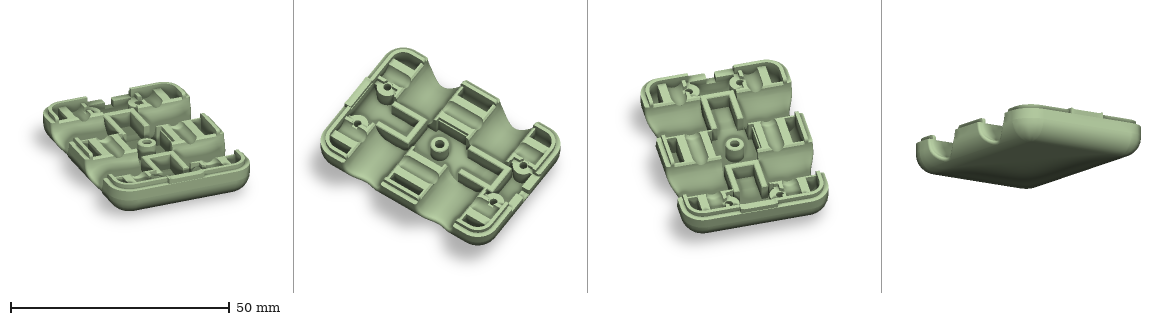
import cadquery as cq
import math

LENGTH = 47.65
WIDTH = 34.7
LEDGE_Z = 6.85
LIP_TOP_Z = 8.0
CLIP_TOP_Z = 8.25
CORNER_R = 5.1
BOTTOM_R = 4.55
WALL = 2.0
FLOOR_Z = 1.95
FOOT_Z = 1.45
LEDGE_WIDTH = 1.15

CHANNEL_X = 10.0
CHANNEL_R = 5.1
CHANNEL_MOUTH_R = 0.52
LIP_END_R = 0.75
CHANNEL_WALL = 0.8
CHANNEL_CHAMFER = 0.4

GROOVE_Y = 8.95
GROOVE_R = 1.85
GROOVE_END_OFFSET = 6.5

STEP_Z = 5.85
ROOM_HALF_WIDTH = 4.3
BAY_HALF_WIDTH = 5.15
CENTRE_STEP_Y = 5.45
END_STEP_Y = 6.25
END_STEP_X = 16.15
POCKET_Y = 12.75

POST_X = 18.85
POST_Y = 6.05
POST_D = 4.9
POST_HOLE_D = 1.85
POST_RECESS_D = 2.25
RECESS_MOUTH_WIDTH = 1.45
BOSS_X = 0.25
BOSS_D = 4.25
BOSS_HOLE_D = 2.25
SMALL_CHAMFER = 0.2

TRAY_HALF_WIDTH = 4.0
TRAY_WALL = 1.45
LEFT_TRAY_BACK_X = -17.1
LEFT_TRAY_FRONT_ARM_X = -5.75
LEFT_TRAY_REAR_ARM_X = -7.6
RIGHT_TRAY_BACK_X = 6.3
RIGHT_TRAY_ARM_X = 15.4

OPENING_OVERCUT = 0.5
NOTCH_HALF_WIDTH = 5.45
NOTCH_FLARE = 0.4
PORT_HALF_WIDTH = 1.1
PORT_Z = 4.25
PORT_FLARE = 0.3

CLIP_HALF_WIDTH = 4.4
CLIP_RIDGE_FLAT = 0.3
CLIP_SEAT_HALF_WIDTH = 3.15
CLIP_SEAT_Z = LIP_TOP_Z
CLIP_INSET = 0.15
CLIP_SHELF_Z = 7.0

INNER_X = LENGTH / 2 - WALL
INNER_Y = WIDTH / 2 - WALL
PICK_MARGIN = 0.05
BLOCK_OUTER_X = CHANNEL_X + CHANNEL_R + CHANNEL_WALL
BLOCK_INNER_X = CHANNEL_X - CHANNEL_R - CHANNEL_WALL


def span_box(x0, x1, y0, y1, z0, z1):
    """Axis-aligned box between the given limits."""
    return cq.Workplane("XY").box(x1 - x0, y1 - y0, z1 - z0, centered=False).translate((x0, y0, z0))


def rounded_plate(inset, z0, z1):
    """Rounded rectangle following the outer outline at a given inset."""
    return (
        cq.Workplane("XY", origin=(0, 0, z0))
        .rect(LENGTH - 2 * inset, WIDTH - 2 * inset)
        .extrude(z1 - z0)
        .edges("|Z")
        .fillet(CORNER_R - inset)
    )


def cylinder_z(x, y, diameter, z0, z1):
    return cq.Workplane("XY", origin=(x, y, z0)).circle(diameter / 2).extrude(z1 - z0)


def shell_block():
    """Outer block with both channels cut through and their mouths rounded."""
    block = rounded_plate(0, 0, LEDGE_Z).faces("<Z").edges().fillet(BOTTOM_R)
    for x in (-CHANNEL_X, CHANNEL_X):
        channel = (
            cq.Workplane("XZ", origin=(x, WIDTH, LEDGE_Z)).circle(CHANNEL_R).extrude(2 * WIDTH)
        )
        block = block.cut(channel)
    for x in (-CHANNEL_X, CHANNEL_X):
        for side in (-1, 1):
            y0, y1 = sorted((side * (WIDTH / 2 - BOTTOM_R), side * (WIDTH / 2 + PICK_MARGIN)))
            mouth = cq.selectors.BoxSelector(
                (x - CHANNEL_R, y0, PICK_MARGIN),
                (x + CHANNEL_R, y1, LEDGE_Z - PICK_MARGIN),
            )
            block = block.edges(mouth).fillet(CHANNEL_MOUTH_R)
    return block


def rim_lip():
    """Raised lip on the ledge, interrupted by the channels, with rounded ends."""
    lip = rounded_plate(LEDGE_WIDTH, LEDGE_Z, LIP_TOP_Z)
    lip = lip.cut(rounded_plate(WALL, LEDGE_Z, LIP_TOP_Z))
    for x in (-CHANNEL_X, CHANNEL_X):
        lip = lip.cut(
            span_box(x - CHANNEL_R, x + CHANNEL_R, -WIDTH, WIDTH, LEDGE_Z, LIP_TOP_Z)
        )
    for x in (-CHANNEL_X, CHANNEL_X):
        for end_x in (x - CHANNEL_R, x + CHANNEL_R):
            end_edges = cq.selectors.BoxSelector(
                (end_x - PICK_MARGIN, -WIDTH, LIP_TOP_Z - PICK_MARGIN),
                (end_x + PICK_MARGIN, WIDTH, LIP_TOP_Z + PICK_MARGIN),
            )
            lip = lip.edges(end_edges).fillet(LIP_END_R)
    return lip


def inner_envelope():
    """Largest hollow the wall and floor thickness allow."""
    return rounded_plate(WALL, FLOOR_Z, LEDGE_Z).faces("<Z").edges().fillet(BOTTOM_R - WALL)


def hollows():
    """Central room, end bays, steps and edge pockets."""
    bi, bo = BLOCK_INNER_X, BLOCK_OUTER_X
    room = span_box(-bo, bo, -ROOM_HALF_WIDTH, ROOM_HALF_WIDTH, FLOOR_Z, LEDGE_Z)
    steps = (
        (-INNER_X, -END_STEP_X, END_STEP_Y),
        (-bi, bi, CENTRE_STEP_Y),
        (END_STEP_X, INNER_X, END_STEP_Y),
    )
    for x0, x1, y in steps:
        room = room.union(span_box(x0, x1, -y, y, STEP_Z, LEDGE_Z))
    for x0, x1 in ((-INNER_X, -bo), (-bi, bi), (bo, INNER_X)):
        room = room.union(span_box(x0, x1, -BAY_HALF_WIDTH, BAY_HALF_WIDTH, FLOOR_Z, LEDGE_Z))
        room = room.union(span_box(x0, x1, POCKET_Y, INNER_Y, FLOOR_Z, LEDGE_Z))
        room = room.union(span_box(x0, x1, -INNER_Y, -POCKET_Y, FLOOR_Z, LEDGE_Z))
    return room.intersect(inner_envelope())


def channel_edge_bevels():
    """Wedges that bevel the upper inner edges of both channels."""
    top_half = CHANNEL_R + CHANNEL_CHAMFER
    low_half = CHANNEL_R - CHANNEL_CHAMFER
    depth = 2 * CHANNEL_CHAMFER
    wedges = cq.Workplane("XZ", origin=(0, INNER_Y, LEDGE_Z))
    for x in (-CHANNEL_X, CHANNEL_X):
        wedges = wedges.polyline([
            (x - top_half, 0), (x + top_half, 0), (x + low_half, -depth), (x - low_half, -depth),
        ]).close()
    return wedges.extrude(2 * INNER_Y)


def round_ended_bar(x0, x1, y):
    """Bar along X at ledge level with hemispherical ends centred at x0 and x1."""
    bar = cq.Workplane("YZ", origin=(x0, y, LEDGE_Z)).circle(GROOVE_R).extrude(x1 - x0)
    for x in (x0, x1):
        bar = bar.union(cq.Workplane("XY", origin=(x, y, LEDGE_Z)).sphere(GROOVE_R))
    return bar


def wire_groove(y):
    """Half-round grooves with domed ends that break into the channels."""
    inner_end = CHANNEL_X - GROOVE_END_OFFSET
    outer_end = CHANNEL_X + GROOVE_END_OFFSET
    long_bar = INNER_X + GROOVE_R
    interior = span_box(-INNER_X, INNER_X, -INNER_Y, INNER_Y, FLOOR_Z, LEDGE_Z)
    groove = round_ended_bar(-inner_end, inner_end, y)
    groove = groove.union(round_ended_bar(-long_bar, -outer_end, y))
    groove = groove.union(round_ended_bar(outer_end, long_bar, y))
    return groove.intersect(interior)


def recess_mouth(x, y):
    """Gap that opens a post recess into the neighbouring wire groove."""
    y0, y1 = sorted((y, math.copysign(GROOVE_Y, y)))
    half = RECESS_MOUTH_WIDTH / 2
    return span_box(x - half, x + half, y0, y1, STEP_Z, LEDGE_Z)


def tray(back_x, front_arm_x, rear_arm_x):
    """U-shaped wall open toward +X; its two arms may end at different places."""
    y = TRAY_HALF_WIDTH
    outline = (
        cq.Workplane("XY", origin=(0, 0, FOOT_Z))
        .moveTo(back_x, -y)
        .lineTo(front_arm_x, -y)
        .lineTo(front_arm_x, -y + TRAY_WALL)
        .lineTo(back_x + TRAY_WALL, -y + TRAY_WALL)
        .lineTo(back_x + TRAY_WALL, y - TRAY_WALL)
        .lineTo(rear_arm_x, y - TRAY_WALL)
        .lineTo(rear_arm_x, y)
        .lineTo(back_x, y)
        .close()
    )
    return outline.extrude(STEP_Z - FOOT_Z).faces(">Z").chamfer(SMALL_CHAMFER)


def clip():
    """Catch on the +X wall: two ridges with slopes down to a lower seat."""
    y, seat_y = CLIP_HALF_WIDTH, CLIP_SEAT_HALF_WIDTH
    ridge_y = y - CLIP_RIDGE_FLAT
    rise = CLIP_TOP_Z - CLIP_SEAT_Z
    run = ridge_y - seat_y
    slope_r = (run ** 2 + rise ** 2) / (2 * rise)
    return (
        cq.Workplane("YZ", origin=(INNER_X + CLIP_INSET, 0, 0))
        .moveTo(-y, LEDGE_Z)
        .lineTo(-y, CLIP_TOP_Z)
        .lineTo(-ridge_y, CLIP_TOP_Z)
        .radiusArc((-seat_y, CLIP_SEAT_Z), -slope_r)
        .lineTo(seat_y, CLIP_SEAT_Z)
        .radiusArc((ridge_y, CLIP_TOP_Z), -slope_r)
        .lineTo(y, CLIP_TOP_Z)
        .lineTo(y, LEDGE_Z)
        .close()
        .extrude(WALL - 2 * CLIP_INSET)
    )


def wall_opening(half_width, flare, z0, z1):
    """Opening through the -X wall that widens at the outer face."""
    x_out, x_in = -LENGTH / 2, -INNER_X + OPENING_OVERCUT
    return (
        cq.Workplane("XY", origin=(0, 0, z0))
        .polyline([
            (x_in, -half_width), (x_in, half_width), (x_out + flare, half_width),
            (x_out, half_width + flare), (x_out, -half_width - flare), (x_out + flare, -half_width),
        ])
        .close()
        .extrude(z1 - z0)
    )


def port():
    """Square port below the notch, flared at both sides and at the bottom."""
    low_z = PORT_Z - PORT_FLARE
    x_out, x_in = -LENGTH / 2, -INNER_X + OPENING_OVERCUT
    side_profile = (
        cq.Workplane("XZ", origin=(0, WIDTH / 2, 0))
        .polyline([
            (x_out, low_z), (x_out + PORT_FLARE, PORT_Z), (x_in, PORT_Z),
            (x_in, STEP_Z), (x_out, STEP_Z),
        ])
        .close()
        .extrude(WIDTH)
    )
    return wall_opening(PORT_HALF_WIDTH, PORT_FLARE, low_z, STEP_Z).intersect(side_profile)


body = shell_block().cut(hollows())

post_places = [(x, y) for x in (-POST_X, POST_X) for y in (-POST_Y, POST_Y)]
for x, y in post_places:
    body = body.union(cylinder_z(x, y, POST_D, FOOT_Z, STEP_Z))
body = body.union(
    cylinder_z(BOSS_X, 0, BOSS_D, FOOT_Z, STEP_Z).faces(">Z").chamfer(SMALL_CHAMFER)
)
body = body.cut(cylinder_z(BOSS_X, 0, BOSS_HOLE_D, FLOOR_Z, STEP_Z))

body = body.cut(channel_edge_bevels())
for y in (-GROOVE_Y, GROOVE_Y):
    body = body.cut(wire_groove(y))

for x, y in post_places:
    body = body.cut(cylinder_z(x, y, POST_HOLE_D, FLOOR_Z, LEDGE_Z))
    body = body.cut(cylinder_z(x, y, POST_RECESS_D, STEP_Z, LEDGE_Z))
    body = body.cut(recess_mouth(x, y))

body = body.union(tray(LEFT_TRAY_BACK_X, LEFT_TRAY_FRONT_ARM_X, LEFT_TRAY_REAR_ARM_X))
body = body.union(tray(RIGHT_TRAY_BACK_X, RIGHT_TRAY_ARM_X, RIGHT_TRAY_ARM_X))

body = body.union(rim_lip())
body = body.cut(
    span_box(INNER_X, LENGTH / 2, -CLIP_HALF_WIDTH, CLIP_HALF_WIDTH, CLIP_SHELF_Z, CLIP_TOP_Z)
).union(clip())
body = body.cut(
    span_box(-LENGTH / 2, -INNER_X, -NOTCH_HALF_WIDTH, NOTCH_HALF_WIDTH, LEDGE_Z, LIP_TOP_Z)
)
body = body.cut(wall_opening(NOTCH_HALF_WIDTH, NOTCH_FLARE, STEP_Z, LEDGE_Z))
body = body.cut(port())

result = body